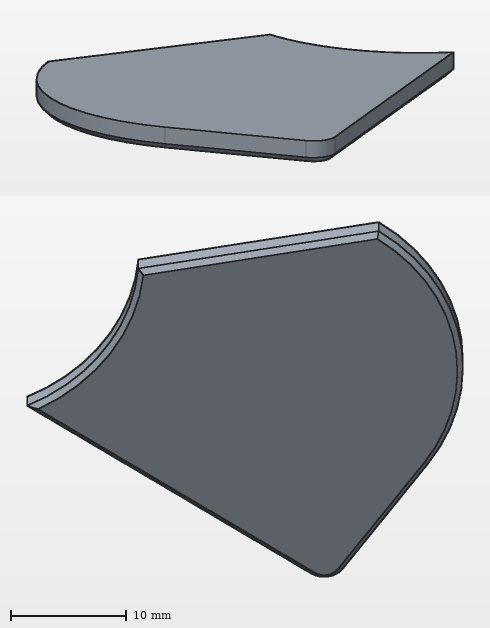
import cadquery as cq
import math

side = 32.0
thickness = 2.0
gauge_radius = 17.0
corner_radius = 2.0
bottom_chamfer = 0.48

concave_start_x = side - gauge_radius
concave_middle_x = side - gauge_radius / 2
concave_sag = gauge_radius * (1 - math.cos(math.radians(30)))

quarter_inset = 1 - math.sqrt(0.5)
convex_inset = gauge_radius * quarter_inset
corner_inset = corner_radius * quarter_inset

plate = (
    cq.Workplane("XY")
    .moveTo(0, gauge_radius)
    .threePointArc((convex_inset, convex_inset), (gauge_radius, 0))
    .lineTo(side - corner_radius, 0)
    .threePointArc((side - corner_inset, corner_inset), (side, corner_radius))
    .lineTo(side, side)
    .threePointArc((concave_middle_x, side - concave_sag), (concave_start_x, side))
    .close()
    .extrude(thickness)
)

result = plate.faces("<Z").edges().chamfer(bottom_chamfer)